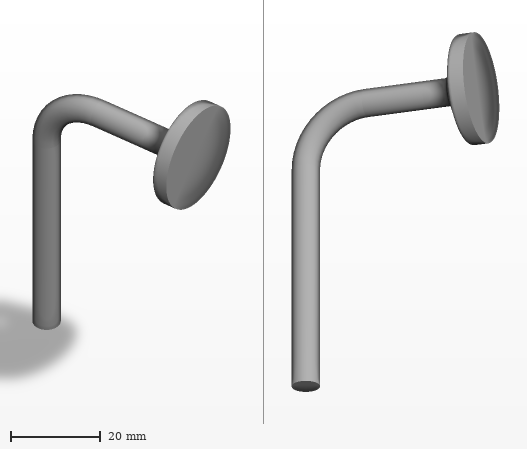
import cadquery as cq
import math

overall_length = 44.5
overall_height = 79.2
tube_diameter = 6.3
flange_diameter = 25.0
bend_radius = 14.25
ferrule_length = 12.8
rim_thickness = 3.7
cone_slope = 20.0
blend_radius = 0.8

tube_radius = tube_diameter / 2
flange_radius = flange_diameter / 2
cone_length = (flange_radius - tube_radius) * math.tan(math.radians(cone_slope))
axis_height = overall_height - flange_radius
face_x = overall_length - tube_radius
joint_x = face_x - ferrule_length
rim_x = face_x - rim_thickness
neck_x = rim_x - cone_length
bend_start_z = axis_height - bend_radius


def make_tube():
    """Round rod with a vertical leg, a quarter bend and a horizontal leg."""
    bend_offset = bend_radius * (1 - math.cos(math.radians(45)))
    path = (
        cq.Workplane("XZ")
        .lineTo(0, bend_start_z)
        .threePointArc((bend_offset, axis_height - bend_offset), (bend_radius, axis_height))
        .lineTo(joint_x, axis_height)
    )
    return cq.Workplane("XY").circle(tube_radius).sweep(path)


def make_ferrule():
    """Short neck that widens through a cone into a flat-faced flange."""
    body = (
        cq.Workplane("XZ", origin=(0, 0, axis_height))
        .moveTo(joint_x, 0)
        .lineTo(joint_x, tube_radius)
        .lineTo(neck_x, tube_radius)
        .lineTo(rim_x, flange_radius)
        .lineTo(face_x, flange_radius)
        .lineTo(face_x, 0)
        .close()
        .revolve(360, (0, 0, 0), (1, 0, 0))
    )
    cone_edges = body.faces("%CONE").edges("%CIRCLE")
    return cone_edges.fillet(blend_radius)


tube = make_tube()
ferrule = make_ferrule()

result = cq.Compound.makeCompound([tube.val(), ferrule.val()])